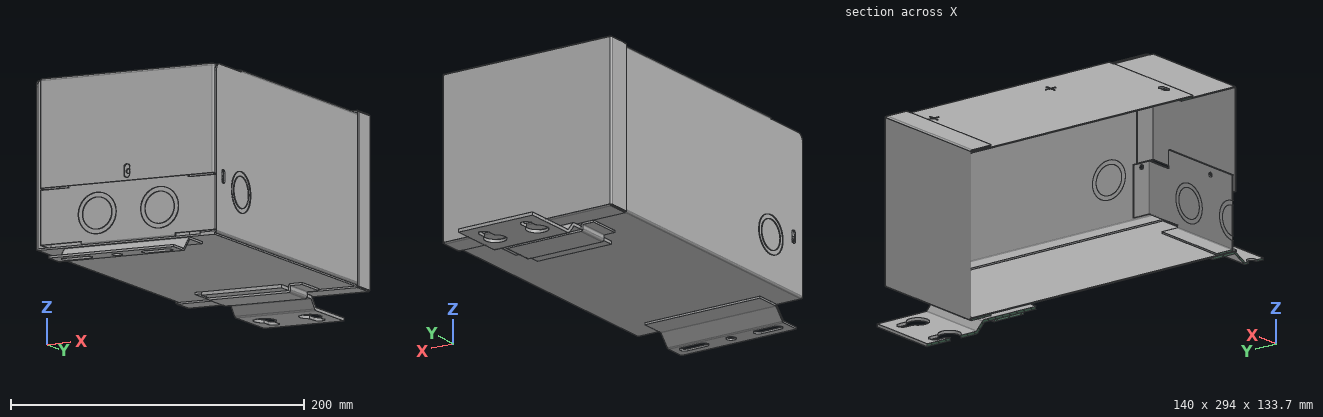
import cadquery as cq
import math

SHEET = 1.2
MOUNT_SHEET = 1.5
BEND = 1.5
MIN_INNER_BEND = 0.3

TOTAL_WIDTH = 140.0
TOTAL_LENGTH = 294
TOTAL_HEIGHT = 133.7
CAP_HALF = TOTAL_WIDTH / 2
SHELL_HALF = CAP_HALF - SHEET
SHELL_INNER_HALF = SHELL_HALF - SHEET
CAP_CLEARANCE = 0.3
SHELL_TOP = TOTAL_HEIGHT - SHEET - CAP_CLEARANCE
SHELL_BOTTOM = 11.8
FLOOR_TOP = SHELL_BOTTOM + SHEET
SEAM_X = 56.0
COVER_FRONT = 38.0
WALL_CORNER_RADIUS = 5.3

CAP_BACK = 232.7
CAP_DEPTH = 18.5
CAP_FRONT = CAP_BACK - CAP_DEPTH
CAP_BOTTOM = SHELL_BOTTOM - SHEET
CAP_CORNER_STEP = 1.0
SHELL_BACK = CAP_BACK - BEND

DOOR_FRONT = 0.45
DOOR_HALF = 66.5
DOOR_BOTTOM = 55.0
DOOR_TOP = SHELL_TOP - SHEET
DOOR_LIP = 10.0
DOOR_BACK = COVER_FRONT + DOOR_LIP
FLANGE = 14.7

PANEL_GAP = 1.2
PANEL_FRONT = DOOR_FRONT + SHEET + PANEL_GAP
PANEL_BOTTOM = 16.0
PANEL_TOP = 54.0
PANEL_UPPER_TAB_HALF = 45.5
PANEL_UPPER_TAB_TOP = 67.5
PANEL_LOWER_TAB_HALF = 35.9

KNOCKOUT_OUTER = 14.5
KNOCKOUT_INNER = 11.2
KNOCKOUT_DEPTH = 0.5
PANEL_KNOCKOUT_X = 23.8
PANEL_KNOCKOUT_Z = 34.7
WALL_KNOCKOUT_Y = 38.0
WALL_KNOCKOUT_Z = 47
SLOT_LENGTH = 9.5
SLOT_WIDTH = 4.5
SCREW_RADIUS = 1.62
TOP_SLOT_Y = 44.5
FRONT_SLOT_Z = 61.7
WALL_SLOT_Y = 10.5
WALL_SLOT_Z = 53.5
WALL_SCREW_Z = 51.0
CROSS_LENGTH = 8.5
CROSS_WIDTH = 1.0
CROSS_X = 48.5
CROSS_Y = (104.5, 206.5)

PAD_BOTTOM = SHELL_BOTTOM - MOUNT_SHEET
FOOT_HALF = 47.5
FOOT_FRONT = -23.5
FOOT_BOTTOM = 1.0
FOOT_BEND_Y = -7.0
FOOT_PAD_FRONT = 1.5
FOOT_PAD_BACK = 20.5
FOOT_HOLE_Y = -14.0
FOOT_SLOT_X = 30.5
FOOT_SLOT_LENGTH = 23.0
FOOT_HOLE_DIAMETER = 7.0

HANGER_HALF = 30.5
HANGER_THICKNESS = 2.4
HANGER_BACK = FOOT_FRONT + TOTAL_LENGTH
HANGER_BEND_Y = 226.3
HANGER_RISE_Y = 220.0
HANGER_FRONT = 175.0
HANGER_PAD_BOTTOM = 7.0
KEYHOLE_X = 17.3
KEYHOLE_Y = 245.5
KEYHOLE_RADIUS = 8.0
KEYHOLE_SLOT_WIDTH = 8.0
KEYHOLE_TOP = 262.7
STRAP_FRONT = 186.0
STRAP_BACK = 211.5
STRAP_PAD = 8.8


def round_corner(outline, before, corner, after, radius):
    """Draw a line towards a corner and round the corner with a tangent arc."""
    way_in = (corner - before).normalized()
    way_out = (after - corner).normalized()
    setback = radius * math.tan(way_in.getAngle(way_out) / 2)
    start = corner - way_in * setback
    end = corner + way_out * setback
    return outline.lineTo(start.x, start.y).tangentArcPoint((end.x, end.y), relative=False)


def bent_sheet(plane, path, thickness, low, high):
    """Extrude a bent sheet lying to the left of a path, from low to high along the plane's normal."""
    right = [cq.Vector(*point) for point in path]
    ways = [(b - a).normalized() for a, b in zip(right, right[1:])]
    normals = [cq.Vector(-way.y, way.x) for way in ways]

    left = [right[0] + normals[0] * thickness]
    for corner, n_in, n_out in zip(right[1:], normals, normals[1:]):
        left.append(corner + (n_in + n_out) * (thickness / (1 + n_in.dot(n_out))))
    left.append(right[-1] + normals[-1] * thickness)

    inner = max(BEND - thickness, MIN_INNER_BEND)
    outer = inner + thickness
    turns_left = [a.cross(b).z > 0 for a, b in zip(ways, ways[1:])]
    right_radii = [outer if turn else inner for turn in turns_left]
    left_radii = [inner if turn else outer for turn in turns_left]

    outline = cq.Workplane(plane).workplane(offset=low).moveTo(right[0].x, right[0].y)
    for i, radius in enumerate(right_radii):
        outline = round_corner(outline, *right[i:i + 3], radius)
    outline = outline.lineTo(right[-1].x, right[-1].y).lineTo(left[-1].x, left[-1].y)
    for i, radius in reversed(list(enumerate(left_radii))):
        outline = round_corner(outline, *left[i:i + 3][::-1], radius)
    return outline.lineTo(left[0].x, left[0].y).close().extrude(high - low)


XZ = cq.Plane((0, 0, 0), xDir=(1, 0, 0), normal=(0, -1, 0))
YZ = cq.Plane((0, 0, 0), xDir=(0, 1, 0), normal=(1, 0, 0))
XY = cq.Plane((0, 0, 0), xDir=(1, 0, 0), normal=(0, 0, 1))


def block(x_range, y_range, z_range):
    """Box between pairs of limits."""
    low, high = zip(x_range, y_range, z_range)
    size = [b - a for a, b in zip(low, high)]
    return cq.Workplane().box(*size, centered=False).translate(low)


def knockout(plane, face_x, face_y, face_offset):
    """Ring groove cutter reaching both ways from a face."""
    return (
        cq.Workplane(plane).workplane(offset=face_offset - KNOCKOUT_DEPTH).center(face_x, face_y)
        .circle(KNOCKOUT_OUTER).circle(KNOCKOUT_INNER).extrude(2 * KNOCKOUT_DEPTH)
    )


def wall_slots_and_knockouts(shell):
    """Screw slots and knockouts, alike in both side walls."""
    slots = (
        cq.Workplane(YZ).center(WALL_SLOT_Y, WALL_SLOT_Z)
        .slot2D(SLOT_LENGTH, SLOT_WIDTH, 90).extrude(TOTAL_WIDTH, both=True)
    )
    shell = shell.cut(slots)
    for side in (-1, 1):
        shell = shell.cut(knockout(YZ, WALL_KNOCKOUT_Y, WALL_KNOCKOUT_Z, side * SHELL_HALF))
    return shell


def top_slot_and_crosses(shell):
    """Screw slot and four cross cuts through the top sheet."""
    top = cq.Workplane(XY).workplane(offset=DOOR_TOP)
    shell = shell.cut(top.center(0, TOP_SLOT_Y).slot2D(SLOT_LENGTH, SLOT_WIDTH).extrude(SHEET))
    centres = [(x, y) for x in (-CROSS_X, CROSS_X) for y in CROSS_Y]
    for size in ((CROSS_LENGTH, CROSS_WIDTH), (CROSS_WIDTH, CROSS_LENGTH)):
        shell = shell.cut(top.pushPoints(centres).rect(*size).extrude(SHEET))
    return shell


def make_shell():
    """Sheet wrapped round all four sides, its right flange lapped over the floor."""
    wall_middle = TOTAL_HEIGHT / 2
    upper = [
        (SEAM_X, FLOOR_TOP),
        (SHELL_HALF, FLOOR_TOP),
        (SHELL_HALF, SHELL_TOP),
        (-SHELL_HALF, SHELL_TOP),
        (-SHELL_HALF, wall_middle),
    ]
    lower = [
        (-SHELL_HALF, wall_middle),
        (-SHELL_HALF, SHELL_BOTTOM),
        (SHELL_HALF - BEND, SHELL_BOTTOM),
    ]
    shell = bent_sheet(XZ, upper, SHEET, -SHELL_BACK, 0).union(
        bent_sheet(XZ, lower, SHEET, -SHELL_BACK, 0)
    )

    wall_top = SHELL_TOP - BEND
    width = (-CAP_HALF, CAP_HALF)
    shell = shell.cut(block(width, (0, COVER_FRONT), (wall_top, TOTAL_HEIGHT)))
    arc_z = wall_top - WALL_CORNER_RADIUS
    corner = block(width, (0, WALL_CORNER_RADIUS), (arc_z, wall_top)).cut(
        cq.Workplane(YZ).center(WALL_CORNER_RADIUS, arc_z)
        .circle(WALL_CORNER_RADIUS).extrude(CAP_HALF, both=True)
    )
    return top_slot_and_crosses(wall_slots_and_knockouts(shell.cut(corner)))


def make_cap():
    """Back plate with four flanges that slide over the end of the shell."""
    top_and_bottom = [
        (CAP_FRONT, CAP_BOTTOM),
        (CAP_BACK, CAP_BOTTOM),
        (CAP_BACK, TOTAL_HEIGHT),
        (CAP_FRONT, TOTAL_HEIGHT),
    ]
    sides = [
        (CAP_HALF, CAP_FRONT),
        (CAP_HALF, CAP_BACK),
        (-CAP_HALF, CAP_BACK),
        (-CAP_HALF, CAP_FRONT),
    ]
    return bent_sheet(YZ, top_and_bottom, SHEET, -SHELL_HALF, SHELL_HALF).union(
        bent_sheet(XY, sides, SHEET, CAP_BOTTOM + CAP_CORNER_STEP, TOTAL_HEIGHT - CAP_CORNER_STEP)
    )


def make_door():
    """Top and front cover with flanges down both sides."""
    outside = block((-DOOR_HALF, DOOR_HALF), (DOOR_FRONT, DOOR_BACK), (DOOR_BOTTOM, DOOR_TOP))
    inside_half = DOOR_HALF - SHEET
    inside = block(
        (-inside_half, inside_half),
        (DOOR_FRONT + SHEET, DOOR_BACK + BEND),
        (DOOR_BOTTOM - BEND, DOOR_TOP - SHEET),
    )
    behind_flanges = block(
        (-DOOR_HALF, DOOR_HALF), (DOOR_FRONT + FLANGE, DOOR_BACK), (DOOR_BOTTOM, DOOR_TOP - FLANGE)
    )
    bends = "(<Y and |Z) or (>Z and |Y) or (<Y and >Z)"
    door = outside.edges(bends).fillet(BEND).cut(inside).cut(behind_flanges)
    front_slot = (
        cq.Workplane(XZ).center(0, FRONT_SLOT_Z).slot2D(SLOT_LENGTH, SLOT_WIDTH, 90)
        .extrude(-DOOR_BACK)
    )
    screw_hole = cq.Workplane(XY).center(0, TOP_SLOT_Y).circle(SCREW_RADIUS).extrude(TOTAL_HEIGHT)
    return door.cut(front_slot).cut(screw_hole)


def make_panel():
    """Knockout panel below the door, with a tab behind the door and a tab on the floor."""
    flange_back = PANEL_FRONT + FLANGE
    channel = [
        (-SHELL_INNER_HALF, flange_back),
        (-SHELL_INNER_HALF, PANEL_FRONT),
        (SHELL_INNER_HALF, PANEL_FRONT),
        (SHELL_INNER_HALF, flange_back),
    ]
    floor_tab = [
        (PANEL_FRONT, PANEL_TOP),
        (PANEL_FRONT, FLOOR_TOP),
        (flange_back, FLOOR_TOP),
    ]
    door_tab = block(
        (-PANEL_UPPER_TAB_HALF, PANEL_UPPER_TAB_HALF),
        (PANEL_FRONT, PANEL_FRONT + SHEET),
        (PANEL_BOTTOM, PANEL_UPPER_TAB_TOP),
    )
    panel = (
        bent_sheet(XY, channel, SHEET, PANEL_BOTTOM, PANEL_TOP)
        .union(bent_sheet(YZ, floor_tab, SHEET, -PANEL_LOWER_TAB_HALF, PANEL_LOWER_TAB_HALF))
        .union(door_tab)
    )
    for x in (-PANEL_KNOCKOUT_X, PANEL_KNOCKOUT_X):
        panel = panel.cut(knockout(XZ, x, PANEL_KNOCKOUT_Z, -PANEL_FRONT))
    door_screw = cq.Workplane(XZ).center(0, FRONT_SLOT_Z).circle(SCREW_RADIUS).extrude(-FLANGE)
    wall_screws = (
        cq.Workplane(YZ).center(WALL_SLOT_Y, WALL_SCREW_Z).circle(SCREW_RADIUS)
        .extrude(CAP_HALF, both=True)
    )
    return panel.cut(door_screw).cut(wall_screws)


def make_foot():
    """Stepped mounting bracket with a round hole between two slots."""
    path = [
        (FOOT_FRONT, FOOT_BOTTOM),
        (FOOT_BEND_Y, FOOT_BOTTOM),
        (FOOT_PAD_FRONT, PAD_BOTTOM),
        (FOOT_PAD_BACK, PAD_BOTTOM),
    ]
    foot = bent_sheet(YZ, path, MOUNT_SHEET, -FOOT_HALF, FOOT_HALF)
    holes = cq.Workplane(XY).center(0, FOOT_HOLE_Y)
    slots = holes.pushPoints([(-FOOT_SLOT_X, 0), (FOOT_SLOT_X, 0)])
    foot = foot.cut(slots.slot2D(FOOT_SLOT_LENGTH, FOOT_HOLE_DIAMETER).extrude(SHELL_BOTTOM))
    return foot.cut(holes.circle(FOOT_HOLE_DIAMETER / 2).extrude(SHELL_BOTTOM))


def make_hanger():
    """Stepped plate with two keyholes."""
    path = [
        (HANGER_FRONT, HANGER_PAD_BOTTOM),
        (HANGER_RISE_Y, HANGER_PAD_BOTTOM),
        (HANGER_BEND_Y, 0),
        (HANGER_BACK, 0),
    ]
    hanger = bent_sheet(YZ, path, HANGER_THICKNESS, -HANGER_HALF, HANGER_HALF)
    slot_length = KEYHOLE_TOP - KEYHOLE_Y + KEYHOLE_SLOT_WIDTH / 2
    slot_middle = KEYHOLE_TOP - slot_length / 2
    for x in (-KEYHOLE_X, KEYHOLE_X):
        round_end = cq.Workplane(XY).center(x, KEYHOLE_Y).circle(KEYHOLE_RADIUS)
        neck = cq.Workplane(XY).center(x, slot_middle).slot2D(slot_length, KEYHOLE_SLOT_WIDTH, 90)
        hanger = hanger.cut(round_end.extrude(HANGER_THICKNESS)).cut(neck.extrude(HANGER_THICKNESS))
    return hanger


def make_strap():
    """Hat-shaped strap that carries the hanger below the shell."""
    web = HANGER_HALF + MOUNT_SHEET
    pad_end = web + STRAP_PAD
    crown_bottom = HANGER_PAD_BOTTOM - MOUNT_SHEET
    path = [
        (-pad_end, PAD_BOTTOM),
        (-web, PAD_BOTTOM),
        (-web, crown_bottom),
        (web, crown_bottom),
        (web, PAD_BOTTOM),
        (pad_end, PAD_BOTTOM),
    ]
    strap = bent_sheet(XZ, path, MOUNT_SHEET, -STRAP_BACK, -STRAP_FRONT)
    return strap.cut(
        block(
            (-HANGER_HALF, HANGER_HALF),
            (STRAP_FRONT, STRAP_BACK),
            (HANGER_PAD_BOTTOM, HANGER_PAD_BOTTOM + HANGER_THICKNESS),
        )
    )


shell = make_shell()
cap = make_cap()
door = make_door()
panel = make_panel()
foot = make_foot()
hanger = make_hanger()
strap = make_strap()

result = cq.Compound.makeCompound(
    [shell.val(), cap.val(), door.val(), panel.val(), foot.val(), hanger.val(), strap.val()]
)